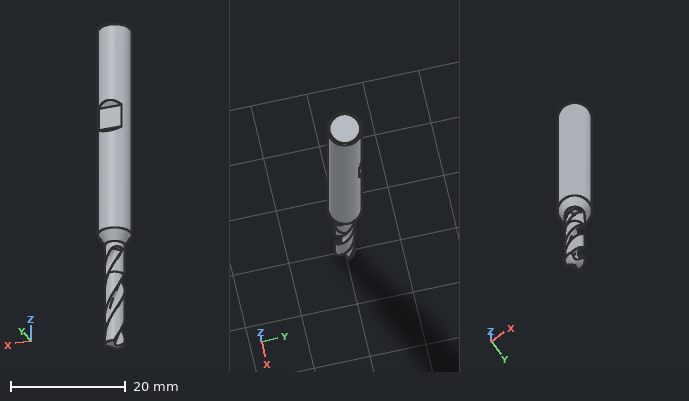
import cadquery as cq
import math

total_length = 62.0
tip_length = 14.0
flute_end = 19.0
neck_end = 20.0
shank_start = 22.0

shank_radius = 3.0
drill_radius = 1.75
shank_chamfer = 0.3
point_angle = 140.0
point_height = drill_radius / math.tan(math.radians(point_angle / 2))

flat_height = 5.1
flat_length = 4.2
flat_setback = 18.0
flat_centre = total_length - flat_setback
flat_depth = 2 * shank_radius - flat_height

flute_count = 2
helix_angle = 30.0
flute_pitch = 2 * math.pi * drill_radius / math.tan(math.radians(helix_angle))
twist_rate = 360.0 / flute_pitch
flute_spacing = 360.0 / flute_count
flute_start_angle = -47.0
flute_half_angle = 37.0
heel_crease_radius = 1.15
heel_crease_angle = -28.0
web_radius = 0.6
run_out_radius = 1.5
clearance_radius = 1.4 * drill_radius


def polar(radius, angle):
    """Point at a radius and an angle in degrees."""
    return (radius * math.cos(math.radians(angle)), radius * math.sin(math.radians(angle)))


def flute_direction(height):
    """Direction of the first flute's centre at a height."""
    return flute_start_angle + twist_rate * height


def add_flute_wall(outline, direction):
    """Extend an outline from the heel edge of a flute to its other edge."""
    return (
        outline
        .lineTo(*polar(heel_crease_radius, direction + heel_crease_angle))
        .threePointArc(polar(web_radius, direction), polar(drill_radius, direction + flute_half_angle))
    )


def fluted_rod():
    """Twisted rod of the tip length, with lands and flutes all around."""
    first_flute = flute_direction(0)
    outline = cq.Workplane("XY").moveTo(*polar(drill_radius, first_flute - flute_half_angle))
    for index in range(flute_count):
        flute = first_flute + index * flute_spacing
        outline = add_flute_wall(outline, flute).threePointArc(
            polar(drill_radius, flute + flute_spacing / 2),
            polar(drill_radius, flute + flute_spacing - flute_half_angle),
        )
    return outline.close().twistExtrude(tip_length, twist_rate * tip_length)


def run_out_trim(direction):
    """Block above a radial arch, which rounds the upper end of a flute cutter."""
    width = 4 * clearance_radius
    reach = 2 * clearance_radius
    arch_centre = flute_end - run_out_radius
    block = (
        cq.Workplane("XY")
        .workplane(offset=arch_centre)
        .rect(width, width)
        .extrude(2 * run_out_radius)
    )
    arch = (
        cq.Workplane("YZ")
        .center(0, arch_centre)
        .circle(run_out_radius)
        .extrude(reach, both=True)
    )
    return block.cut(arch).rotate((0, 0, 0), (0, 0, 1), direction)


def neck_flute_cutter(index):
    """Twisted solid of one flute in the neck, with a rounded upper end."""
    direction = flute_direction(tip_length) + index * flute_spacing
    length = flute_end - tip_length
    heel_edge = direction - flute_half_angle
    outline = (
        cq.Workplane("XY")
        .workplane(offset=tip_length)
        .moveTo(*polar(clearance_radius, heel_edge))
        .lineTo(*polar(drill_radius, heel_edge))
    )
    outline = add_flute_wall(outline, direction).lineTo(
        *polar(clearance_radius, direction + flute_half_angle)
    )
    cutter = outline.close().twistExtrude(length, twist_rate * length)
    return cutter.cut(run_out_trim(flute_direction(flute_end) + index * flute_spacing))


def flat_cutter():
    """Prism of the clamping flat, with ends sloping outward at 45 degrees."""
    flat_y = shank_radius - flat_depth
    outer_y = flat_y + 2 * flat_depth
    half_length = flat_length / 2
    half_mouth = half_length + 2 * flat_depth
    return (
        cq.Workplane("YZ")
        .moveTo(flat_y, flat_centre - half_length)
        .lineTo(outer_y, flat_centre - half_mouth)
        .lineTo(outer_y, flat_centre + half_mouth)
        .lineTo(flat_y, flat_centre + half_length)
        .close()
        .extrude(shank_radius, both=True)
    )


def point_cutter():
    """Everything below the conical drill point, out past the drill surface."""
    return (
        cq.Workplane("XZ")
        .lineTo(2 * drill_radius, 2 * point_height)
        .lineTo(2 * drill_radius, -point_height)
        .lineTo(0, -point_height)
        .close()
        .revolve(360, (0, 0), (0, 1))
    )


def cutting_tip():
    """Fluted tip with a conical point."""
    return fluted_rod().cut(point_cutter())


def drill_body():
    """Shank, transition cone and neck, with the flutes running out in the neck."""
    shaft = (
        cq.Workplane("XZ")
        .moveTo(0, tip_length)
        .lineTo(drill_radius, tip_length)
        .lineTo(drill_radius, neck_end)
        .lineTo(shank_radius, shank_start)
        .lineTo(shank_radius, total_length - shank_chamfer)
        .lineTo(shank_radius - shank_chamfer, total_length)
        .lineTo(0, total_length)
        .close()
        .revolve(360, (0, 0), (0, 1))
    )
    shaft = shaft.cut(flat_cutter())
    for index in range(flute_count):
        shaft = shaft.cut(neck_flute_cutter(index))
    return shaft


tip = cutting_tip()
body = drill_body()

result = cq.Compound.makeCompound([tip.solids().val(), body.solids().val()])